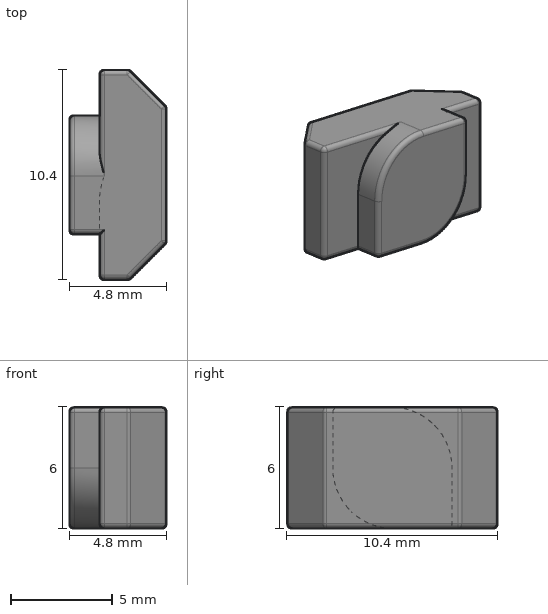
import cadquery as cq

length = 10.4
height = 6.0
total_depth = 4.8
boss_depth = 1.5
boss_width = 5.9
bevel = 1.84
edge_radius = 0.25

body_depth = total_depth - boss_depth
boss_root = 2 * edge_radius


def make_body():
    """Bar with bevelled back ends and all edges rounded; its front face lies at X = 0."""
    half_length = length / 2
    bevel_start = body_depth - bevel
    return (
        cq.Workplane("XY", origin=(0, 0, -height / 2))
        .moveTo(0, -half_length)
        .lineTo(bevel_start, -half_length)
        .lineTo(body_depth, -half_length + bevel)
        .lineTo(body_depth, half_length - bevel)
        .lineTo(bevel_start, half_length)
        .lineTo(0, half_length)
        .close()
        .extrude(height)
        .edges()
        .fillet(edge_radius)
    )


def make_boss():
    """Leaf-shaped boss: two opposite corners are large arcs, the other two are tight."""
    half_width = boss_width / 2
    half_height = height / 2
    arc_radius = half_height
    arc_center_y = half_width - arc_radius
    boss = (
        cq.Workplane("YZ", origin=(-boss_depth, 0, 0))
        .moveTo(-half_width, half_height)
        .lineTo(arc_center_y, half_height)
        .radiusArc((half_width, 0), arc_radius)
        .lineTo(half_width, -half_height)
        .lineTo(-arc_center_y, -half_height)
        .radiusArc((-half_width, 0), arc_radius)
        .close()
        .extrude(boss_depth + boss_root)
    )
    tight_corners = (
        cq.selectors.NearestToPointSelector((0, -half_width, half_height))
        + cq.selectors.NearestToPointSelector((0, half_width, -half_height))
    )
    front_outline = cq.StringSyntaxSelector("<X")
    return boss.edges(tight_corners + front_outline).fillet(edge_radius)


result = make_body().union(make_boss())